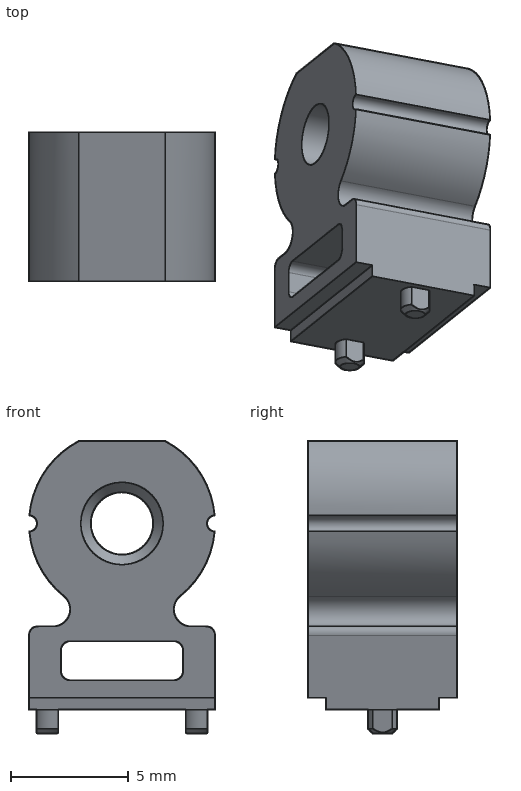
import cadquery as cq
import math

width = 7.92
depth = 6.35
body_height = 11.43
overall_height = 12.45

head_radius = width / 2
bore_z = 7.92
bore_radius = 1.32
countersink_radius = 1.75
countersink_depth = 0.43

deck_z = 3.55
base_corner_radius = 0.38
neck_fillet_radius = 0.72

window_width = 5.18
window_height = 1.65
window_bottom_z = 1.26
window_corner_radius = 0.38

groove_radius = 0.34

step_height = 0.508
step_depth = 0.762

pin_spacing = 6.35
pin_radius = 0.62
pin_flat_width = 0.94
pin_length = overall_height - body_height
pin_chamfer = 0.21


def extrude_through(sketch):
    """Extrude an XZ sketch over the full depth, centred on Y = 0."""
    return sketch.extrude(depth / 2, both=True)


def make_body():
    """Head, neck and base as one mirrored outline."""
    half_width = width / 2
    flat_rise = body_height - bore_z
    flat_half = math.sqrt(head_radius**2 - flat_rise**2)

    fillet_z = deck_z + neck_fillet_radius
    centre_distance = head_radius + neck_fillet_radius
    drop = bore_z - fillet_z
    fillet_x = math.sqrt(centre_distance**2 - drop**2)
    touch_angle = math.atan2(drop, fillet_x)
    touch_x = head_radius * math.cos(touch_angle)
    touch_z = bore_z - head_radius * math.sin(touch_angle)

    middle_angle = (1.5 * math.pi + math.pi - touch_angle) / 2
    fillet_middle = (
        fillet_x + neck_fillet_radius * math.cos(middle_angle),
        fillet_z + neck_fillet_radius * math.sin(middle_angle),
    )

    corner_x = half_width - base_corner_radius
    corner_z = deck_z - base_corner_radius

    outline = (
        cq.Workplane("XZ")
        .lineTo(half_width, 0)
        .lineTo(half_width, corner_z)
        .radiusArc((corner_x, deck_z), -base_corner_radius)
        .lineTo(fillet_x, deck_z)
        .threePointArc(fillet_middle, (touch_x, touch_z))
        .threePointArc((head_radius, bore_z), (flat_half, body_height))
        .lineTo(0, body_height)
        .mirrorY()
    )
    return extrude_through(outline)


def make_bore():
    """Through bore with a conical countersink on the front face."""
    bore = extrude_through(cq.Workplane("XZ").center(0, bore_z).circle(bore_radius))
    front = cq.Plane(origin=(0, -depth / 2, bore_z), xDir=(1, 0, 0), normal=(0, 1, 0))
    cone = (
        cq.Workplane(front)
        .circle(countersink_radius)
        .workplane(offset=countersink_depth)
        .circle(bore_radius)
        .loft(ruled=True)
    )
    return bore.union(cone)


def make_window():
    """Rounded rectangular opening through the base."""
    middle_z = window_bottom_z + window_height / 2
    window = extrude_through(cq.Workplane("XZ").center(0, middle_z).rect(window_width, window_height))
    return window.edges("|Y").fillet(window_corner_radius)


def make_groove(side):
    """Half-round groove centred on the widest point of the head; side is +1 or -1."""
    return extrude_through(cq.Workplane("XZ").center(side * head_radius, bore_z).circle(groove_radius))


def make_step(side):
    """Rebate along the lower front (-1) or back (+1) edge of the foot."""
    centre_y = side * (depth - step_depth) / 2
    return cq.Workplane("XY").center(0, centre_y).rect(width, step_depth).extrude(step_height)


def make_pin(side):
    """Chamfered round pin with flats facing +X and -X."""
    round_pin = cq.Workplane("XY").circle(pin_radius).extrude(-pin_length)
    round_pin = round_pin.faces("<Z").chamfer(pin_chamfer)
    flats = cq.Workplane("XY").rect(pin_flat_width, 2 * pin_radius).extrude(-pin_length)
    return round_pin.intersect(flats).translate((side * pin_spacing / 2, 0, 0))


result = make_body().cut(make_bore()).cut(make_window())
for side in (-1, 1):
    result = result.cut(make_groove(side)).cut(make_step(side)).union(make_pin(side))